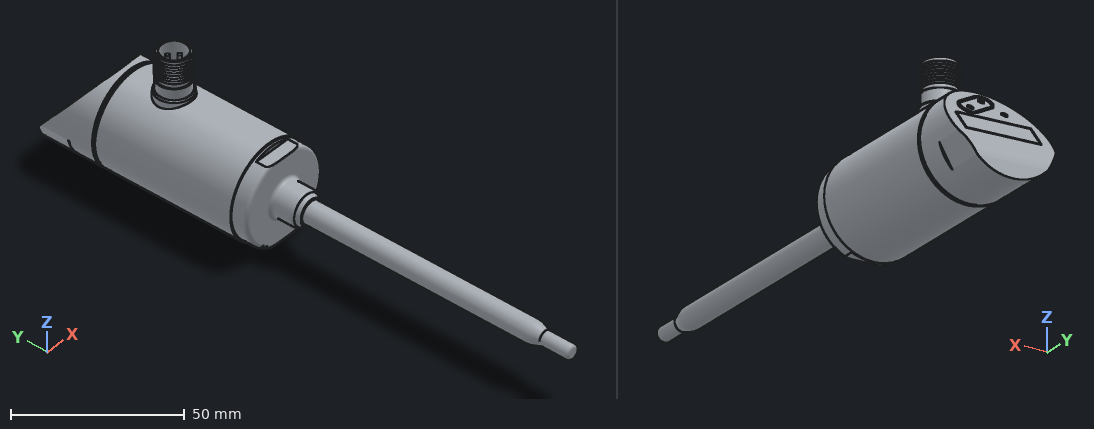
import cadquery as cq
import math


TOTAL_LENGTH = 192.0
TOTAL_HEIGHT = 49.3
BODY_DIAMETER = 34.0
BODY_RADIUS = BODY_DIAMETER / 2

CAP_LENGTH = 23.5
DISPLAY_TILT = 50.0
DISPLAY_TOP = 21.0
BACK_BLEND = 11.5
GRIP_ANGLE = 30.0
GRIP_HALF_SPAN = 15.0
GRIP_LENGTH = 13.8

WINDOW_WIDTH = 25.3
WINDOW_START = 5.0
WINDOW_END = 10.8
WINDOW_DEPTH = 0.2
BUTTON_SPACING_X = 5.8
LOWER_BUTTON = 17.5
UPPER_BUTTON = 14.0
BUTTON_FRAME_SPAN_X = 7.3
BUTTON_FRAME_RADIUS = 3.3
BUTTON_FRAME_WIDTH = 0.5
BUTTON_FRAME_DEPTH = 0.2
LAMP_AT = 14.0
DIMPLE_RADIUS = 1.0
DIMPLE_DEPTH = 0.5

SEAM_WIDTH = 1.2
SEAM_DEPTH = 0.5
BARREL_END = 76.0
FLANGE_RADIUS = 16.5
FLANGE_END = 82.0
FLANGE_FILLET = 1.3
FLANGE_FLAT_START = 77.2
FLANGE_FLAT_HEIGHT = 15.0

NECK_RADIUS = 6.1
NECK_BASE_FILLET = 1.3
NECK_END = 89.3
NECK_ROUND = 1.2
CONE_START_RADIUS = 5.5
CONE_END = 92.2
CONE_END_RADIUS = 4.6
ROD_RADIUS = 4.0
ROD_END = 176.0
SHOULDER_END = 179.0
SHOULDER_RADIUS = 3.5
TIP_START = 181.2
TIP_RADIUS = 2.7
TIP_FILLET = 1.2

CONNECTOR_AT = 40.0
CONNECTOR_TOP = TOTAL_HEIGHT - BODY_RADIUS
CONNECTOR_RADIUS = 5.8
COLLAR_TOP = 18.6
COLLAR_RADIUS = 6.3
COLLAR_BAND = 0.5
COLLAR_FOOT_RADIUS = 6.7
COLLAR_FOOT_HEIGHT = 15.5
RELIEF_BOTTOM = 22.7
RELIEF_RADIUS = 5.4
THREAD_BOTTOM = 24.2
THREAD_PITCH = 1.0
THREAD_TURNS = 7
THREAD_RADIUS = 6.0
SOCKET_RADIUS = 4.6
SOCKET_DEPTH = 8.6
PIN_COUNT = 4
PIN_CIRCLE_RADIUS = 2.5
PIN_RADIUS = 0.67
PIN_LENGTH = 5.8


def cylinder_along_axis(radius, start, end):
    """Cylinder on the Y axis between two distances from the back of the cap."""
    return cq.Workplane("XZ").workplane(offset=start).circle(radius).extrude(end - start)


def display_plane(distance, x=0.0):
    """Plane on the display face, with its local x along X and its local y up the slope to the back."""
    tilt = math.radians(DISPLAY_TILT)
    height = BODY_RADIUS - (DISPLAY_TOP - distance) * math.tan(tilt)
    return cq.Workplane(
        cq.Plane(
            origin=(x, -distance, height),
            xDir=(1, 0, 0),
            normal=(0, math.sin(tilt), math.cos(tilt)),
        )
    )


def slanted_blank():
    """Cap cylinder cut by the display face, which blends into the flat back."""
    back_height = BODY_RADIUS - DISPLAY_TOP * math.tan(math.radians(DISPLAY_TILT))
    side = (
        cq.Workplane("YZ")
        .moveTo(0, -BODY_RADIUS)
        .lineTo(0, back_height)
        .lineTo(-DISPLAY_TOP, BODY_RADIUS)
        .lineTo(-CAP_LENGTH, BODY_RADIUS)
        .lineTo(-CAP_LENGTH, -BODY_RADIUS)
        .close()
        .extrude(BODY_RADIUS, both=True)
        .edges(cq.selectors.NearestToPointSelector((0, 0, back_height)))
        .fillet(BACK_BLEND)
    )
    return cylinder_along_axis(BODY_RADIUS, 0, CAP_LENGTH).intersect(side)


def grip_cutter(side):
    """Block that cuts the grip flat on one side (+1 or -1) of the cap."""
    flat_distance = BODY_RADIUS * math.cos(math.radians(GRIP_HALF_SPAN))
    block = cq.Workplane("XY").box(
        BODY_RADIUS, GRIP_LENGTH, 2 * BODY_RADIUS, centered=(False, False, True)
    )
    block = block.translate((flat_distance, -GRIP_LENGTH, 0))
    block = block.rotate((0, 0, 0), (0, 1, 0), GRIP_ANGLE)
    return block if side > 0 else block.mirror("YZ")


def window_cutter():
    slope = math.cos(math.radians(DISPLAY_TILT))
    height = (WINDOW_END - WINDOW_START) / slope
    middle = (WINDOW_START + WINDOW_END) / 2
    return display_plane(middle).rect(WINDOW_WIDTH, height).extrude(-WINDOW_DEPTH)


def button_frame_cutter():
    """Obround ring that cuts a shallow frame groove around the two buttons."""
    rise = (LOWER_BUTTON - UPPER_BUTTON) / math.cos(math.radians(DISPLAY_TILT))
    center_distance = math.hypot(BUTTON_FRAME_SPAN_X, rise)
    angle = math.degrees(math.atan2(rise, BUTTON_FRAME_SPAN_X))
    middle = display_plane((LOWER_BUTTON + UPPER_BUTTON) / 2, BUTTON_SPACING_X / 2)

    def obround(radius):
        outline = middle.slot2D(center_distance + 2 * radius, 2 * radius, angle)
        return outline.extrude(-BUTTON_FRAME_DEPTH)

    return obround(BUTTON_FRAME_RADIUS).cut(obround(BUTTON_FRAME_RADIUS - BUTTON_FRAME_WIDTH))


def make_cap():
    cap = slanted_blank()
    for side in (-1, 1):
        cap = cap.cut(grip_cutter(side))
    cap = cap.cut(window_cutter()).cut(button_frame_cutter())
    for x, distance in (
        (0, LOWER_BUTTON),
        (BUTTON_SPACING_X, UPPER_BUTTON),
        (-BUTTON_SPACING_X, LAMP_AT),
    ):
        dimple = display_plane(distance, x).circle(DIMPLE_RADIUS)
        cap = cap.cut(dimple.extrude(DIMPLE_DEPTH, both=True))
    return cap


def barrel():
    """Round housing with the seam groove at the cap and the end flange."""
    seam_end = CAP_LENGTH + SEAM_WIDTH
    seam = cylinder_along_axis(BODY_RADIUS - SEAM_DEPTH, CAP_LENGTH, seam_end)
    main = cylinder_along_axis(BODY_RADIUS, seam_end, BARREL_END)
    flange = cylinder_along_axis(FLANGE_RADIUS, BARREL_END, FLANGE_END)
    flange = flange.faces("<Y").edges().fillet(FLANGE_FILLET)
    flat_middle = (FLANGE_FLAT_START + FLANGE_END) / 2
    for side in (-1, 1):
        flat_cutter = cq.Workplane("XY").box(
            2 * FLANGE_RADIUS, FLANGE_END - FLANGE_FLAT_START, FLANGE_RADIUS
        )
        cutter_height = FLANGE_FLAT_HEIGHT + FLANGE_RADIUS / 2
        flange = flange.cut(flat_cutter.translate((0, -flat_middle, side * cutter_height)))
    return seam.union(main).union(flange)


def probe():
    """Stepped neck, rod and tip, turned about the Y axis."""
    diagonal = math.sqrt(0.5)
    base_radius = NECK_RADIUS + NECK_BASE_FILLET
    base_end = FLANGE_END + NECK_BASE_FILLET
    base_mid = NECK_BASE_FILLET * (1 - diagonal)
    tip_mid = TIP_FILLET * (1 - diagonal)
    profile = (
        cq.Workplane("XY")
        .moveTo(0, -FLANGE_END)
        .lineTo(base_radius, -FLANGE_END)
        .threePointArc((NECK_RADIUS + base_mid, -FLANGE_END - base_mid), (NECK_RADIUS, -base_end))
        .lineTo(NECK_RADIUS, -NECK_END)
        .tangentArcPoint((CONE_START_RADIUS, -NECK_END - NECK_ROUND), relative=False)
        .lineTo(CONE_END_RADIUS, -CONE_END)
        .lineTo(ROD_RADIUS, -CONE_END)
        .lineTo(ROD_RADIUS, -ROD_END)
        .tangentArcPoint((SHOULDER_RADIUS, -SHOULDER_END), relative=False)
        .lineTo(TIP_RADIUS, -TIP_START)
        .lineTo(TIP_RADIUS, -TOTAL_LENGTH + TIP_FILLET)
        .threePointArc(
            (TIP_RADIUS - tip_mid, -TOTAL_LENGTH + tip_mid),
            (TIP_RADIUS - TIP_FILLET, -TOTAL_LENGTH),
        )
        .lineTo(0, -TOTAL_LENGTH)
        .close()
    )
    return profile.revolve(360, (0, 0, 0), (0, 1, 0))


def connector_plug():
    """Flared collar, plain stem, relief and ridged thread, turned about the connector axis."""
    chamfer_end = COLLAR_TOP - (COLLAR_RADIUS - CONNECTOR_RADIUS)
    profile = (
        cq.Workplane("XZ")
        .lineTo(COLLAR_FOOT_RADIUS, 0)
        .lineTo(COLLAR_FOOT_RADIUS, COLLAR_FOOT_HEIGHT)
        .lineTo(COLLAR_RADIUS, chamfer_end - COLLAR_BAND)
        .lineTo(COLLAR_RADIUS, chamfer_end)
        .lineTo(CONNECTOR_RADIUS, COLLAR_TOP)
        .lineTo(CONNECTOR_RADIUS, RELIEF_BOTTOM)
        .lineTo(RELIEF_RADIUS, RELIEF_BOTTOM)
    )
    for turn in range(THREAD_TURNS):
        root = THREAD_BOTTOM + turn * THREAD_PITCH
        profile = profile.lineTo(RELIEF_RADIUS, root).lineTo(THREAD_RADIUS, root + THREAD_PITCH / 2)
    thread_top = THREAD_BOTTOM + THREAD_TURNS * THREAD_PITCH
    profile = profile.lineTo(RELIEF_RADIUS, thread_top).lineTo(RELIEF_RADIUS, CONNECTOR_TOP)
    profile = profile.lineTo(0, CONNECTOR_TOP).close()
    return profile.revolve(360, (0, 0, 0), (0, 1, 0)).translate((0, -CONNECTOR_AT, 0))


def connector_socket():
    """Socket bore with its contact pins left standing."""
    top = cq.Workplane("XY", origin=(0, -CONNECTOR_AT, CONNECTOR_TOP))
    bore = top.circle(SOCKET_RADIUS).extrude(-SOCKET_DEPTH)
    pins = (
        top.workplane(offset=-SOCKET_DEPTH)
        .polarArray(PIN_CIRCLE_RADIUS, 0, 360, PIN_COUNT)
        .circle(PIN_RADIUS)
        .extrude(PIN_LENGTH)
    )
    return bore.cut(pins)


def make_housing():
    return barrel().union(probe()).union(connector_plug()).cut(connector_socket())


cap = make_cap().solids()
housing = make_housing().solids()
result = cq.Compound.makeCompound([cap.val(), housing.val()])